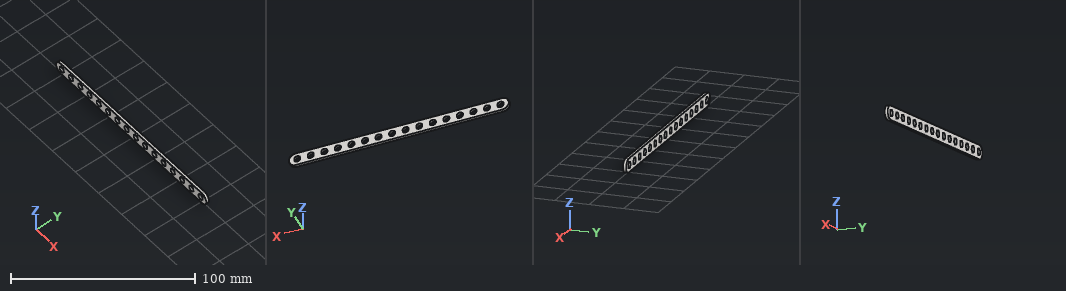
import cadquery as cq

length = 130.0
height = 8.0
thickness = 2.0

hole_count = 16
hole_diameter = 3.6
end_to_hole = 5.0
hole_pitch = (length - 2 * end_to_hole) / (hole_count - 1)

bar = cq.Workplane("XZ").slot2D(length, height).extrude(thickness / 2, both=True)

holes = (
    cq.Workplane("XZ")
    .rarray(hole_pitch, 1.3, hole_count, 1)
    .circle(hole_diameter / 2)
    .extrude(thickness, both=True)
)

result = bar.cut(holes)